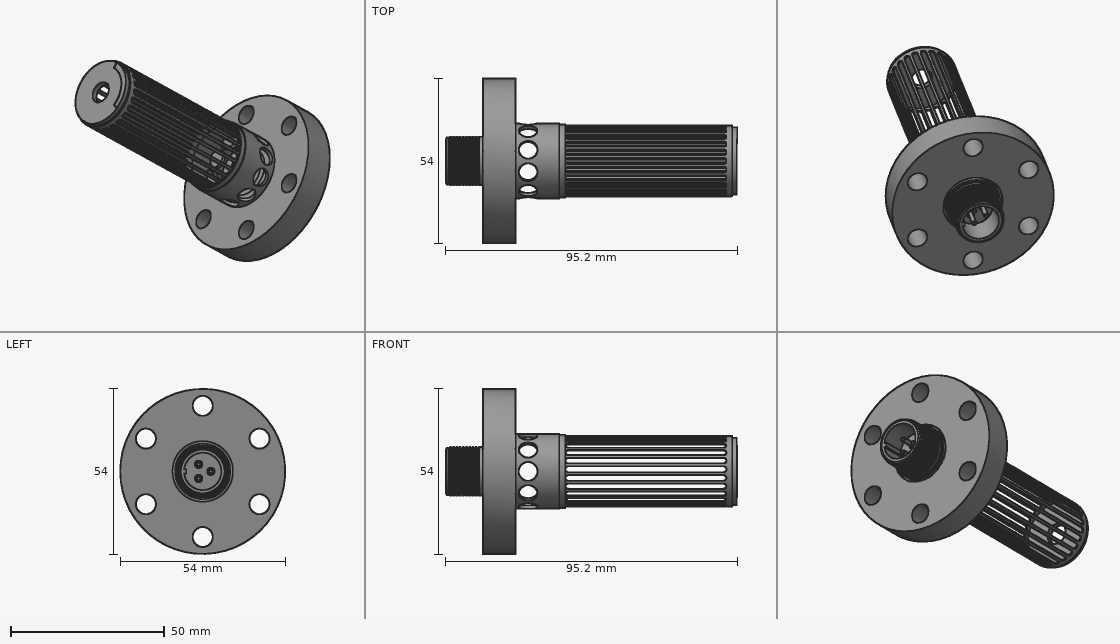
import cadquery as cq
import math


FLANGE_START = 12.1
FLANGE_END = 22.8
FLANGE_RADIUS = 54.0 / 2
BOLT_HOLES = 6
FIRST_BOLT_ANGLE = 90
BOLT_CIRCLE_RADIUS = 21.4
BOLT_HOLE_RADIUS = 3.2
RECESS_RADIUS = 9.9
RECESS_DEPTH = 1.4
NECK_RADIUS = 12.3
NECK_BORE_RADIUS = 11.0
NECK_END = 37.0
VENTS = 10
FIRST_VENT_ANGLE = 90
VENT_X = 26.8
VENT_RADIUS = 3.0

COLLAR_RADIUS = 12.0
COLLAR_END = 39.0
CAGE_RADIUS = 11.6
CAGE_BORE_RADIUS = 11.1
CAGE_END = 93.5
SLOTS = 25
SLOT_WIDTH = 1.9
SLOT_START = COLLAR_END
SLOT_END = 91.6

CAP_RADIUS = 11.0
CAP_PLUG_LENGTH = 0.5
CAP_END = 95.0
CAP_HOLE_RADIUS = 3.5
PAD_INNER_RADIUS = 9.0
PAD_HALF_ANGLE = 50
PAD_END = 95.2

THREAD_RADIUS = 8.0
THREAD_ROOT_RADIUS = 7.5
THREAD_PITCH = 1.0
THREAD_CRESTS = 9
THREAD_FLAT = 0.2
FIRST_CREST_X = 1.5
SHELL_COLLAR_START = FIRST_CREST_X + THREAD_CRESTS * THREAD_PITCH
SHOULDER_RADIUS = 8.5
LIP_RADIUS = 7.7
LIP_END = 0.9
LIP_FACE_RADIUS = 7.1
LIP_CHAMFER = 0.3
SHELL_BORE_RADIUS = 6.1
KEY_TIP_RADIUS = 5.3
KEY_WIDTH = 1.5

RING_RADIUS = 9.0

INSERT_START = 9.5
PINS = 3
FIRST_PIN_ANGLE = 180
PIN_CIRCLE_RADIUS = 2.7
PIN_START = 3.6
PIN_RADIUS = 0.8
PIN_TIP_CHAMFER = 0.2
PIN_CLEARANCE_RADIUS = 1.2
PIN_CLEARANCE_DEPTH = 0.5


def cylinder(radius, start, end, y=0, z=0):
    """Solid cylinder parallel to X between two X positions."""
    return cq.Workplane("YZ", origin=(start, y, z)).circle(radius).extrude(end - start)


def tube(outer, inner, start, end):
    return cq.Workplane("YZ", origin=(start, 0, 0)).circle(outer).circle(inner).extrude(end - start)


def ring_positions(count, radius, first_angle):
    """(y, z) points evenly spaced on a circle, with angles measured from +Y toward +Z."""
    angles = [math.radians(first_angle + i * 360 / count) for i in range(count)]
    return [(radius * math.cos(a), radius * math.sin(a)) for a in angles]


def pin_positions():
    return ring_positions(PINS, PIN_CIRCLE_RADIUS, FIRST_PIN_ANGLE)


def make_flange():
    flange = cylinder(FLANGE_RADIUS, FLANGE_START, FLANGE_END)
    flange = flange.union(tube(NECK_RADIUS, NECK_BORE_RADIUS, FLANGE_END, NECK_END))
    flange = flange.cut(cylinder(THREAD_RADIUS, FLANGE_START, FLANGE_END))
    flange = flange.cut(cylinder(RECESS_RADIUS, FLANGE_START, FLANGE_START + RECESS_DEPTH))
    for y, z in ring_positions(BOLT_HOLES, BOLT_CIRCLE_RADIUS, FIRST_BOLT_ANGLE):
        flange = flange.cut(cylinder(BOLT_HOLE_RADIUS, FLANGE_START, FLANGE_END, y, z))
    vent = cq.Workplane("XY", origin=(VENT_X, 0, 0)).circle(VENT_RADIUS).extrude(FLANGE_RADIUS)
    for i in range(VENTS):
        flange = flange.cut(vent.rotate((0, 0, 0), (1, 0, 0), FIRST_VENT_ANGLE + i * 360 / VENTS))
    return flange


def make_cage():
    cage = tube(COLLAR_RADIUS, CAGE_BORE_RADIUS, NECK_END, COLLAR_END)
    cage = cage.union(tube(CAGE_RADIUS, CAGE_BORE_RADIUS, COLLAR_END, CAGE_END))
    slot = (
        cq.Workplane("XY", origin=((SLOT_START + SLOT_END) / 2, 0, 0))
        .slot2D(SLOT_END - SLOT_START, SLOT_WIDTH)
        .extrude(2 * CAGE_RADIUS)
    )
    for i in range(SLOTS):
        cage = cage.cut(slot.rotate((0, 0, 0), (1, 0, 0), i * 360 / SLOTS))
    return cage


def make_cap():
    """Disc with a short plug that closes the cage, and a raised arc-shaped pad on its outer face."""
    cap = tube(CAP_RADIUS, CAP_HOLE_RADIUS, CAGE_END, CAP_END)
    cap = cap.union(tube(CAGE_BORE_RADIUS, CAP_HOLE_RADIUS, CAGE_END - CAP_PLUG_LENGTH, CAGE_END))
    edge_y = math.cos(math.radians(PAD_HALF_ANGLE))
    edge_z = math.sin(math.radians(PAD_HALF_ANGLE))
    pad = (
        cq.Workplane("YZ", origin=(CAP_END, 0, 0))
        .moveTo(PAD_INNER_RADIUS * edge_y, -PAD_INNER_RADIUS * edge_z)
        .lineTo(CAP_RADIUS * edge_y, -CAP_RADIUS * edge_z)
        .threePointArc((CAP_RADIUS, 0), (CAP_RADIUS * edge_y, CAP_RADIUS * edge_z))
        .lineTo(PAD_INNER_RADIUS * edge_y, PAD_INNER_RADIUS * edge_z)
        .threePointArc((PAD_INNER_RADIUS, 0), (PAD_INNER_RADIUS * edge_y, -PAD_INNER_RADIUS * edge_z))
        .close()
        .extrude(PAD_END - CAP_END)
    )
    return cap.union(pad)


def make_shell():
    """Externally threaded sleeve; the thread is a row of ridges and the key runs along the bore."""
    half_flat = THREAD_FLAT / 2
    half_base = (THREAD_PITCH - THREAD_FLAT) / 2
    outline = [
        (0, SHELL_BORE_RADIUS),
        (0, LIP_FACE_RADIUS),
        (LIP_CHAMFER, LIP_RADIUS),
        (LIP_END, LIP_RADIUS),
        (LIP_END, THREAD_ROOT_RADIUS),
    ]
    for i in range(THREAD_CRESTS):
        crest_x = FIRST_CREST_X + i * THREAD_PITCH
        outline += [
            (crest_x - half_base, THREAD_ROOT_RADIUS),
            (crest_x - half_flat, THREAD_RADIUS),
            (crest_x + half_flat, THREAD_RADIUS),
            (crest_x + half_base, THREAD_ROOT_RADIUS),
        ]
    outline += [
        (SHELL_COLLAR_START - half_base, THREAD_ROOT_RADIUS),
        (SHELL_COLLAR_START - half_flat, THREAD_RADIUS),
        (FLANGE_START, THREAD_RADIUS),
        (FLANGE_START, SHOULDER_RADIUS),
        (FLANGE_START + RECESS_DEPTH, SHOULDER_RADIUS),
        (FLANGE_START + RECESS_DEPTH, THREAD_RADIUS),
        (FLANGE_END, THREAD_RADIUS),
        (FLANGE_END, SHELL_BORE_RADIUS),
    ]
    shell = cq.Workplane("XY").polyline(outline).close().revolve(360, (0, 0, 0), (1, 0, 0))
    key_height = (SHELL_BORE_RADIUS + LIP_FACE_RADIUS) / 2 - KEY_TIP_RADIUS
    key = cq.Workplane("XY").box(INSERT_START, key_height, KEY_WIDTH, centered=(False, False, True))
    return shell.union(key.translate((0, KEY_TIP_RADIUS, 0)))


def make_ring():
    return tube(RING_RADIUS, SHOULDER_RADIUS, FLANGE_START, FLANGE_START + RECESS_DEPTH)


def make_insert():
    """Disc behind the shell bore, with a counterbored through hole for each pin."""
    insert = cylinder(SHELL_BORE_RADIUS, INSERT_START, FLANGE_END)
    for y, z in pin_positions():
        insert = insert.cut(cylinder(PIN_RADIUS, INSERT_START, FLANGE_END, y, z))
        clearance_end = INSERT_START + PIN_CLEARANCE_DEPTH
        insert = insert.cut(cylinder(PIN_CLEARANCE_RADIUS, INSERT_START, clearance_end, y, z))
    return insert


def make_pin(y, z):
    return cylinder(PIN_RADIUS, PIN_START, FLANGE_END, y, z).faces("<X").chamfer(PIN_TIP_CHAMFER)


flange = make_flange()
cage = make_cage()
cap = make_cap()
shell = make_shell()
ring = make_ring()
insert = make_insert()
pins = [make_pin(y, z) for y, z in pin_positions()]

result = cq.Compound.makeCompound(
    [
        flange.val(),
        cage.val(),
        cap.val(),
        shell.val(),
        ring.val(),
        insert.val(),
        *[pin.val() for pin in pins],
    ]
)